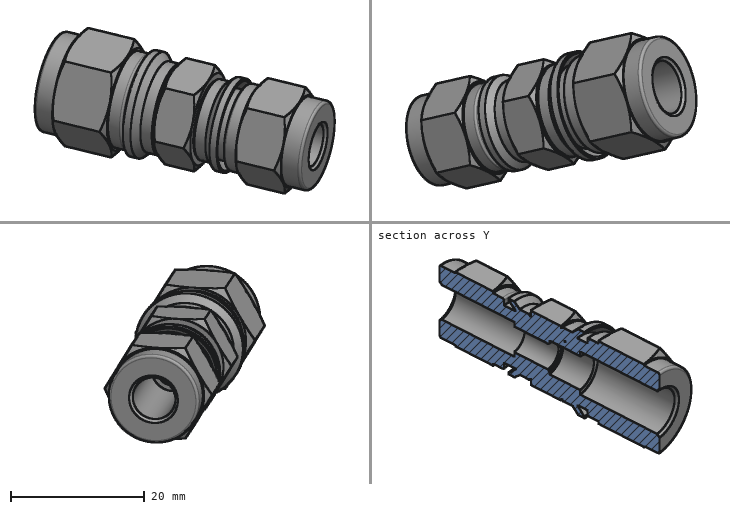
import cadquery as cq
import math

LENGTH = 43.0

LARGE_FLATS = 15.85
LARGE_COLLAR_DIA = 15.53
LARGE_HEX_START = 3.05
LARGE_HEX_END = 11.95
LARGE_SKIRT_DIA = 15.0
LARGE_SKIRT_END = 14.15

LARGE_NECK_DIA = 12.9
LARGE_FLANGE_DIA = 16.5
LARGE_FLANGE_START = 14.65
LARGE_FLANGE_END = 15.9
LARGE_CONE_END = 17.05
LARGE_SHOULDER_DIA = 14.2
BODY_HEX_START = 19.23
BODY_HEX_END = 25.15
SMALL_FLATS = 14.3
SMALL_SHOULDER_DIA = 12.6
SMALL_CONE_START = 27.25
SMALL_FLANGE_DIA = 14.6
SMALL_FLANGE_START = 28.35
SMALL_FLANGE_END = 29.5
SMALL_NECK_DIA = 11.1

SMALL_SKIRT_DIA = 13.6
SMALL_SKIRT_START = 30.35
SMALL_HEX_START = 32.5
SMALL_HEX_END = 39.85
SMALL_COLLAR_DIA = 13.9

FLANGE_RIM_WIDTH = 0.35
FLANGE_POCKET_DEPTH = 1.38

EDGE_ROUND = 0.45
SHOULDER_CHAMFER = 0.35
HEX_CHAMFER_ANGLE = 30

LARGE_SOCKET_DIA = 8.15
LARGE_SOCKET_END = 15.5
LARGE_BORE_DIA = 6.35
LARGE_BORE_END = 21.5
THROUGH_DIA = 4.8
SMALL_SOCKET_DIA = 6.55
SMALL_SOCKET_START = 28.4
MOUTH_CHAMFER = 0.47
BORE_STEP_CHAMFER = 0.25


def cylinder(start, end, diameter):
    return cq.Workplane("YZ", origin=(start, 0, 0)).circle(diameter / 2).extrude(end - start)


def cone(start, end, start_dia, end_dia):
    profile = [(start, 0), (start, start_dia / 2), (end, end_dia / 2), (end, 0)]
    return cq.Workplane("XY").polyline(profile).close().revolve(360, (0, 0, 0), (1, 0, 0))


def hexagon(start, end, flats):
    """Hexagonal prism with corners on Y and conical chamfers at both ends."""
    corners = flats / math.cos(math.pi / 6)
    prism = cq.Workplane("YZ", origin=(start, 0, 0)).polygon(6, corners).extrude(end - start)
    drop = (corners - flats) / 2 * math.tan(math.radians(HEX_CHAMFER_ANGLE))
    envelope = (
        cone(start, start + drop, flats, corners)
        .union(cylinder(start + drop, end - drop, 2 * corners))
        .union(cone(end - drop, end, corners, flats))
    )
    return prism.intersect(envelope)


def large_nut():
    collar = cylinder(0, LARGE_HEX_START, LARGE_COLLAR_DIA).faces("<X").edges().fillet(EDGE_ROUND)
    skirt = cylinder(LARGE_HEX_END, LARGE_SKIRT_END, LARGE_SKIRT_DIA)
    skirt = skirt.faces(">X").edges().fillet(SHOULDER_CHAMFER)
    return collar.union(hexagon(LARGE_HEX_START, LARGE_HEX_END, LARGE_FLATS)).union(skirt)


def flange_pockets():
    """Tapered annular pockets in the flange faces, each leaving a narrow outer rim."""
    large_floor = LARGE_FLANGE_START + FLANGE_POCKET_DEPTH
    small_floor = SMALL_FLANGE_END - FLANGE_POCKET_DEPTH
    large_mouth_dia = LARGE_FLANGE_DIA - 2 * FLANGE_RIM_WIDTH
    small_mouth_dia = SMALL_FLANGE_DIA - 2 * FLANGE_RIM_WIDTH
    large_pocket = cone(LARGE_FLANGE_START, large_floor, large_mouth_dia, LARGE_NECK_DIA)
    large_pocket = large_pocket.cut(cylinder(LARGE_FLANGE_START, large_floor, LARGE_NECK_DIA))
    small_pocket = cone(small_floor, SMALL_FLANGE_END, SMALL_NECK_DIA, small_mouth_dia)
    small_pocket = small_pocket.cut(cylinder(small_floor, SMALL_FLANGE_END, SMALL_NECK_DIA))
    return large_pocket.union(small_pocket)


def fitting_body():
    large_shoulder = cylinder(LARGE_CONE_END, BODY_HEX_START, LARGE_SHOULDER_DIA)
    small_shoulder = cylinder(BODY_HEX_END, SMALL_CONE_START, SMALL_SHOULDER_DIA)
    sections = [
        cylinder(LARGE_SKIRT_END, LARGE_FLANGE_START, LARGE_NECK_DIA),
        cylinder(LARGE_FLANGE_START, LARGE_FLANGE_END, LARGE_FLANGE_DIA),
        cone(LARGE_FLANGE_END, LARGE_CONE_END, LARGE_FLANGE_DIA, LARGE_SHOULDER_DIA),
        large_shoulder.faces(">X").edges().chamfer(SHOULDER_CHAMFER),
        hexagon(BODY_HEX_START, BODY_HEX_END, SMALL_FLATS),
        small_shoulder.faces("<X").edges().chamfer(SHOULDER_CHAMFER),
        cone(SMALL_CONE_START, SMALL_FLANGE_START, SMALL_SHOULDER_DIA, SMALL_FLANGE_DIA),
        cylinder(SMALL_FLANGE_START, SMALL_FLANGE_END, SMALL_FLANGE_DIA),
        cylinder(SMALL_FLANGE_END, SMALL_SKIRT_START, SMALL_NECK_DIA),
    ]
    body = sections[0]
    for section in sections[1:]:
        body = body.union(section)
    return body.cut(flange_pockets())


def small_nut():
    skirt = cylinder(SMALL_SKIRT_START, SMALL_HEX_START, SMALL_SKIRT_DIA)
    skirt = skirt.faces("<X").edges().fillet(SHOULDER_CHAMFER)
    collar = cylinder(SMALL_HEX_END, LENGTH, SMALL_COLLAR_DIA).faces(">X").edges().fillet(EDGE_ROUND)
    return skirt.union(hexagon(SMALL_HEX_START, SMALL_HEX_END, SMALL_FLATS)).union(collar)


def bore():
    step_end = LARGE_BORE_END + BORE_STEP_CHAMFER
    small_mouth = LENGTH - MOUTH_CHAMFER
    return (
        cylinder(0, LENGTH, THROUGH_DIA)
        .union(cone(0, MOUTH_CHAMFER, LARGE_SOCKET_DIA + 2 * MOUTH_CHAMFER, LARGE_SOCKET_DIA))
        .union(cylinder(0, LARGE_SOCKET_END, LARGE_SOCKET_DIA))
        .union(cylinder(0, LARGE_BORE_END, LARGE_BORE_DIA))
        .union(cone(LARGE_BORE_END, step_end, THROUGH_DIA + 2 * BORE_STEP_CHAMFER, THROUGH_DIA))
        .union(cylinder(SMALL_SOCKET_START, LENGTH, SMALL_SOCKET_DIA))
        .union(cone(small_mouth, LENGTH, SMALL_SOCKET_DIA, SMALL_SOCKET_DIA + 2 * MOUTH_CHAMFER))
    )


result = large_nut().union(fitting_body()).union(small_nut()).cut(bore())